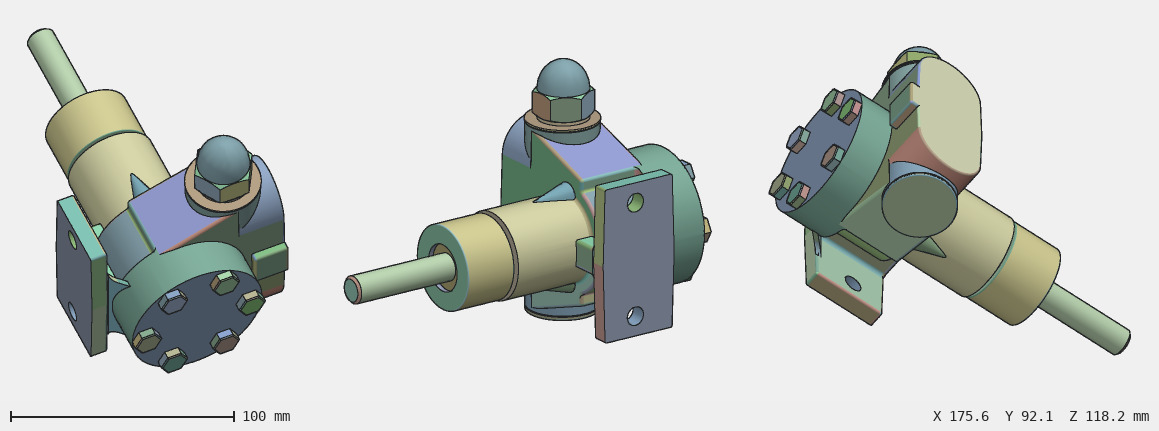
import cadquery as cq
import math


TOLERANCE = 0.04

SHAFT_RADIUS = 6.5
SHAFT_CHAMFER = 1.2
COLLAR_START = 50.4
COLLAR_END = 75.5
COLLAR_RADIUS = 20.0
COLLAR_ROUND = 0.5
RECESS_RADIUS = 11.0
RECESS_DEPTH = 2.5
NECK_RADIUS = 16.2
BARREL_START = 77.3
BARREL_RADIUS = 20.7

DRUM_START = 149.6
DRUM_RADIUS = 31.8
COVER_END = 171.5
BOLT_END = 175.6
BOLT_COUNT = 6
BOLT_CIRCLE_RADIUS = 25.5
BOLT_FLATS = 11.2
BOLT_CHAMFER = 0.5

BODY_X = 136.5
BODY_HALF_WIDTH = 18.3
BODY_SHOULDER_Z = 43.2
BODY_EDGE_ROUND = 1.4
DRAFT_ANGLE = 1.75
STEP_Y = -10.7
FLOOR_RADIUS = 26.7
FLOOR_FILLET = 1.4
BARREL_FILLET = 1.4

PORT_Y = 28.5
PORT_RADIUS = 16.95
PORT_TOP = 44.0
PORT_BOTTOM = -44.3
PORT_CHAMFER = 0.5
WASHER_RADIUS = 17.2
WASHER_TOP = 45.0
PLUG_BOTTOM = -46.0
PLUG_ROUND = 0.5
SIDE_PORT_END_Y = 51.0
SIDE_PORT_CENTER_Z = 24.4
SIDE_PORT_ROUND = 0.9
PAD_LENGTH = 16.5
PAD_END_X = 158.4
PAD_ROUND = 1.0

NUT_X = 137.0
NUT_BASE = 46.5
NUT_TOP = 58.7
NUT_FLATS = 24.4
NUT_CHAMFER_DROP = 1.2
DOME_RADIUS = 12.0
DOME_TOP = 72.2

PLATE_FRONT_Y = -41.1
PLATE_BACK_Y = -33.0
PLATE_HALF_HEIGHT = 36.5
PLATE_X = 128.7
PLATE_END_HALF_WIDTH = 18.5
PLATE_MID_HALF_WIDTH = 19.5
PLATE_CORNER = 1.0
PLATE_BACK_ROUND = 1.0
HOLE_X = 127.0
HOLE_Z = 27.0
HOLE_RADIUS = 4.4
WEB_START = 109.2
WEB_HALF_THICKNESS = 6.5
WEB_EDGE_ROUND = 1.5
WEB_FILLET = 1.8
GUSSET_START = 145.0
GUSSET_HALF_HEIGHT = 18.8
GUSSET_FLARE = 3.5
GUSSET_RUN = 9.7

RIB_START = 97.0
RIB_END = 118.9
RIB_AXIS_Z = 19.8
RIB_RADIUS = 6.3


def x_cylinder(start, end, radius):
    """Cylinder about the shaft axis between two X positions."""
    return cq.Workplane("YZ").workplane(offset=start).circle(radius).extrude(end - start)


def z_cylinder(axis_x, bottom, top, radius):
    """Vertical cylinder in the middle plane of the vertical port between two heights."""
    return cq.Workplane("XY", origin=(axis_x, PORT_Y, bottom)).circle(radius).extrude(top - bottom)


def hexagon_diameter(across_flats):
    """Diameter of the circle through the corners of a hexagon."""
    return across_flats / math.cos(math.pi / 6)


def on_x_cylinder(edge, radius):
    """True for an edge that keeps a given distance from the shaft axis and is not straight."""
    points = [edge.positionAt(fraction) for fraction in (0.1, 0.5, 0.9)]
    distances = [math.hypot(point.y, point.z) for point in points]
    curved = edge.geomType() != "LINE"
    return curved and all(math.isclose(d, radius, abs_tol=TOLERANCE) for d in distances)


def drive_end():
    """Shaft and grooved collar."""
    shaft = x_cylinder(0, BARREL_START, SHAFT_RADIUS).faces("<X").chamfer(SHAFT_CHAMFER)
    collar = x_cylinder(COLLAR_START, COLLAR_END, COLLAR_RADIUS).edges().fillet(COLLAR_ROUND)
    recess = x_cylinder(COLLAR_START, COLLAR_START + RECESS_DEPTH, RECESS_RADIUS)
    neck = x_cylinder(COLLAR_END, BARREL_START, NECK_RADIUS)
    return collar.cut(recess).union(shaft).union(neck)


def rib(side):
    """Cone that rises out of the barrel toward the body; side is +1 above and -1 below."""
    cone = cq.Solid.makeCone(
        0, RIB_RADIUS, RIB_END - RIB_START,
        pnt=cq.Vector(RIB_START, 0, side * RIB_AXIS_Z), dir=cq.Vector(1, 0, 0),
    )
    return cq.Workplane(cone)


def half_width_at(z):
    """Half of the body's X width at a height above or below the parting plane."""
    return BODY_HALF_WIDTH - abs(z) * math.tan(math.radians(DRAFT_ANGLE))


def tapered_prism(center_x, mid_half_width, end_half_width, half_height, y_start, y_end):
    """Prism along Y that is widest in X at Z = 0."""
    outline = [
        (center_x - mid_half_width, 0),
        (center_x - end_half_width, half_height),
        (center_x + end_half_width, half_height),
        (center_x + mid_half_width, 0),
        (center_x + end_half_width, -half_height),
        (center_x - end_half_width, -half_height),
    ]
    plane = cq.Workplane("XZ", origin=(0, y_end, 0))
    return plane.polyline(outline).close().extrude(y_end - y_start)


def needs_round(edge):
    """True for the long edges of the sloping sides and the edges across their lower ends."""
    center = edge.Center()
    above_step = abs(center.z) > math.sqrt(FLOOR_RADIUS**2 - STEP_Y**2)
    return above_step and center.y < PORT_Y - 1.8


def main_body():
    """Body whose sloping sides run tangent to the drum, with a stepped round end toward -Y."""
    reach = math.hypot(PORT_Y, BODY_SHOULDER_Z)
    normal_angle = math.atan2(BODY_SHOULDER_Z, PORT_Y) + math.acos(DRUM_RADIUS / reach)
    slope = -1 / math.tan(normal_angle)
    step_top = BODY_SHOULDER_Z - slope * (PORT_Y - STEP_Y)
    step_floor = math.sqrt(FLOOR_RADIUS**2 - STEP_Y**2)
    profile = (
        cq.Workplane("YZ", origin=(BODY_X - BODY_HALF_WIDTH, 0, 0))
        .moveTo(PORT_Y, -BODY_SHOULDER_Z)
        .lineTo(PORT_Y, BODY_SHOULDER_Z)
        .lineTo(STEP_Y, step_top)
        .lineTo(STEP_Y, step_floor)
        .threePointArc((-FLOOR_RADIUS, 0), (STEP_Y, -step_floor))
        .lineTo(STEP_Y, -step_top)
        .close()
        .extrude(2 * BODY_HALF_WIDTH)
    )
    drafted = tapered_prism(
        BODY_X, BODY_HALF_WIDTH, half_width_at(BODY_SHOULDER_Z), BODY_SHOULDER_Z, -FLOOR_RADIUS, PORT_Y
    )
    body = profile.intersect(drafted)
    rounded = [edge for edge in body.edges("not |Z").vals() if needs_round(edge)]
    body = body.newObject(rounded).fillet(BODY_EDGE_ROUND)
    floor_front = [
        edge for edge in body.edges("not |X").vals()
        if on_x_cylinder(edge, FLOOR_RADIUS) and edge.Center().x < BODY_X
    ]
    return body.newObject(floor_front).fillet(BODY_EDGE_ROUND)


def in_floor_corner(edge):
    """True for the edges where the round floor meets the drum and the two steps."""
    center = edge.Center()
    step_floor = math.sqrt(FLOOR_RADIUS**2 - STEP_Y**2)
    along_step = (
        edge.geomType() == "LINE"
        and math.isclose(center.y, STEP_Y, abs_tol=TOLERANCE)
        and math.isclose(abs(center.z), step_floor, abs_tol=TOLERANCE)
    )
    at_drum = on_x_cylinder(edge, FLOOR_RADIUS) and math.isclose(center.x, DRUM_START, abs_tol=TOLERANCE)
    return along_step or at_drum


def casting():
    """Body joined to the drum and the barrel, with rounded inner corners."""
    block = main_body().union(x_cylinder(DRUM_START, COVER_END, DRUM_RADIUS))
    floor_corners = [edge for edge in block.edges().vals() if in_floor_corner(edge)]
    block = block.newObject(floor_corners).fillet(FLOOR_FILLET)
    block = block.union(x_cylinder(BARREL_START, BODY_X, BARREL_RADIUS))
    barrel_root = [
        edge for edge in block.edges().vals()
        if on_x_cylinder(edge, BARREL_RADIUS) and edge.Center().x > BARREL_START + 1.8
    ]
    return block.newObject(barrel_root).fillet(BARREL_FILLET)


def side_port():
    """Oblong port along +Y, with a square pad on its +X side."""
    top = SIDE_PORT_CENTER_Z + PORT_RADIUS
    end_half_width = half_width_at(SIDE_PORT_CENTER_Z)
    port = (
        cq.Workplane("XZ", origin=(BODY_X, SIDE_PORT_END_Y, 0))
        .moveTo(-BODY_HALF_WIDTH, 0)
        .lineTo(-end_half_width, SIDE_PORT_CENTER_Z)
        .threePointArc((0, top), (end_half_width, SIDE_PORT_CENTER_Z))
        .lineTo(BODY_HALF_WIDTH, 0)
        .lineTo(end_half_width, -SIDE_PORT_CENTER_Z)
        .threePointArc((0, -top), (-end_half_width, -SIDE_PORT_CENTER_Z))
        .close()
        .extrude(SIDE_PORT_END_Y - PORT_Y)
        .faces(">Y").edges().fillet(SIDE_PORT_ROUND)
    )
    pad = (
        cq.Workplane("YZ", origin=(BODY_X, SIDE_PORT_END_Y - PAD_LENGTH / 2, 0))
        .rect(PAD_LENGTH, PAD_LENGTH)
        .extrude(PAD_END_X - BODY_X)
        .edges("|X or >X").fillet(PAD_ROUND)
    )
    return port.union(pad)


def vertical_port():
    """Port along Z with chamfered ends, a washer on top and a plug below."""
    port = z_cylinder(BODY_X, PORT_BOTTOM, PORT_TOP, PORT_RADIUS).edges("%CIRCLE").chamfer(PORT_CHAMFER)
    washer = z_cylinder(BODY_X, PORT_TOP, WASHER_TOP, WASHER_RADIUS)
    plug = z_cylinder(BODY_X, PLUG_BOTTOM, PORT_BOTTOM, PORT_RADIUS).faces("<Z").edges().fillet(PLUG_ROUND)
    return port.union(washer).union(plug)


def cap_nut():
    """Hexagon nut, chamfered on both ends, with a half-ellipse dome."""
    corner_diameter = hexagon_diameter(NUT_FLATS)
    hexagon = (
        cq.Workplane("XY", origin=(NUT_X, PORT_Y, NUT_BASE))
        .transformed(rotate=(0, 0, 90))
        .polygon(6, corner_diameter)
        .extrude(NUT_TOP - NUT_BASE)
    )
    chamfer_width = corner_diameter / 2 - DOME_RADIUS
    envelope = (
        z_cylinder(NUT_X, NUT_BASE, NUT_TOP, corner_diameter / 2)
        .edges("%CIRCLE").chamfer(NUT_CHAMFER_DROP, chamfer_width)
    )
    dome = (
        cq.Workplane("XZ", origin=(NUT_X, PORT_Y, NUT_TOP))
        .moveTo(DOME_RADIUS, 0)
        .ellipseArc(DOME_RADIUS, DOME_TOP - NUT_TOP, 0, 90, startAtCurrent=True)
        .lineTo(0, 0)
        .close()
        .revolve(360, (0, 0), (0, 1))
    )
    spigot = z_cylinder(NUT_X, WASHER_TOP, NUT_TOP, DOME_RADIUS)
    return hexagon.intersect(envelope).union(spigot).union(dome)


def cover_bolts():
    """Ring of hexagon heads on the cover, corners pointing along Y."""
    return (
        cq.Workplane("YZ", origin=(COVER_END, 0, 0))
        .polarArray(BOLT_CIRCLE_RADIUS, 0, 360, BOLT_COUNT, rotate=False)
        .polygon(6, hexagon_diameter(BOLT_FLATS))
        .extrude(BOLT_END - COVER_END)
        .faces(">X").edges().chamfer(BOLT_CHAMFER)
    )


def flared_wall(start, end, half_height, flare):
    """Wall along X from the back of the plate toward the shaft axis, flaring out at the plate."""
    arc_offset = flare * (1 - math.sqrt(0.5))
    arc_y = PLATE_BACK_Y + arc_offset
    arc_z = half_height + arc_offset
    return (
        cq.Workplane("YZ", origin=(start, 0, 0))
        .moveTo(PLATE_BACK_Y, half_height + flare)
        .threePointArc((arc_y, arc_z), (PLATE_BACK_Y + flare, half_height))
        .lineTo(0, half_height)
        .lineTo(0, -half_height)
        .lineTo(PLATE_BACK_Y + flare, -half_height)
        .threePointArc((arc_y, -arc_z), (PLATE_BACK_Y, -half_height - flare))
        .close()
        .extrude(end - start)
    )


def gusset():
    """Slanted wall from the plate to the drum whose height flares out at the plate."""
    end_x = PLATE_X + PLATE_MID_HALF_WIDTH
    plan = (
        cq.Workplane("XY", origin=(0, 0, -PLATE_HALF_HEIGHT))
        .moveTo(GUSSET_START, PLATE_BACK_Y)
        .lineTo(GUSSET_START + GUSSET_RUN, PLATE_BACK_Y + GUSSET_RUN)
        .lineTo(end_x + GUSSET_RUN, PLATE_BACK_Y + GUSSET_RUN)
        .lineTo(end_x, PLATE_BACK_Y)
        .close()
        .extrude(2 * PLATE_HALF_HEIGHT)
    )
    return plan.intersect(flared_wall(GUSSET_START, COVER_END, GUSSET_HALF_HEIGHT, GUSSET_FLARE))


def foot():
    """Foot plate joined to the body by a web and a 45-degree gusset."""
    plate = tapered_prism(
        PLATE_X, PLATE_MID_HALF_WIDTH, PLATE_END_HALF_WIDTH, PLATE_HALF_HEIGHT, PLATE_FRONT_Y, PLATE_BACK_Y
    )
    plate = plate.edges("|Y").edges(">Z or <Z").fillet(PLATE_CORNER)
    plate = plate.faces(">Y").edges().fillet(PLATE_BACK_ROUND)
    web_end = PLATE_X + PLATE_MID_HALF_WIDTH
    web = flared_wall(WEB_START, web_end, WEB_HALF_THICKNESS, WEB_FILLET)
    web = web.edges("<X and |Y").fillet(WEB_EDGE_ROUND)
    holes = (
        cq.Workplane("XZ", origin=(HOLE_X, PLATE_BACK_Y, 0))
        .pushPoints([(0, HOLE_Z), (0, -HOLE_Z)])
        .circle(HOLE_RADIUS)
        .extrude(PLATE_BACK_Y - PLATE_FRONT_Y)
    )
    return plate.union(web).cut(holes).union(gusset())


result = casting()
details = (drive_end(), side_port(), vertical_port(), cap_nut(), cover_bolts(), foot(), rib(1), rib(-1))
for detail in details:
    result = result.union(detail)